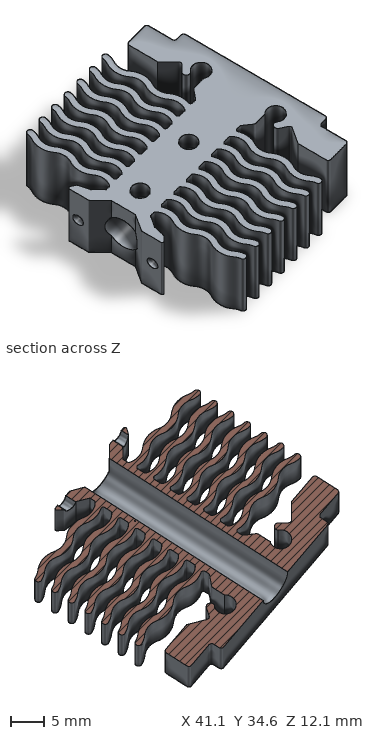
import cadquery as cq
import math

HEIGHT = 12.1
LENGTH = 34.6
FIN_SPAN = 41.12

HEAD_HALF_WIDTH = 19.0
HEAD_THICKNESS = 6.8
STEP_HALF_WIDTH = 13.6
STEP_HEIGHT = 2.0
HEAD_CORNER_RADIUS = 0.5
HEAD_BOTTOM = LENGTH - HEAD_THICKNESS

GROOVE_RADIUS = 1.6
GROOVE_X = 7.0
GROOVE_Y = LENGTH - 4.2
LIP_RADIUS = 0.68
LIP_X = 8.62
LIP_Y = LENGTH - 5.74
NOTCH_ANGLE = math.radians(37)
NOTCH_OUTER_X = 13.2
NOTCH_RADIUS = 0.45

CORE_HALF_WIDTH = 4.2
NECK_HALF_WIDTH = 5.78
NECK_BOTTOM = LENGTH - 7.65
NECK_SLOPE = math.radians(45)
NECK_RADIUS = 0.6

FIN_COUNT = 7
FIN_PITCH = 3.1
FIN_THICKNESS = 1.1
TOP_FIN_Y = LENGTH - 10.70
HALF_WAVE = 3.62
WAVE_ANGLE = math.radians(31)
WAVE_RADIUS = HALF_WAVE / (2 * math.sin(WAVE_ANGLE))
WAVE_BENDS = 5
FIRST_CREST_X = 6.0
ROOT_X = 3.4
ROOT_RADIUS = 0.35

FOOT_HEEL_X = 4.97
FOOT_RECESS_HALF_WIDTH = 2.25
FOOT_RECESS_DEPTH = 2.0
FOOT_TOE_X = 9.2
FOOT_TOE_TOP = (8.15, 1.32)
FOOT_KNEE = (5.95, 1.86)
FOOT_TOP_Y = 3.2
FOOT_RADIUS = 0.3

BORE_DIAMETER = 6.1
CROSS_HOLE_DIAMETER = 3.0
CROSS_HOLE_YS = (6.15, 18.15)
FOOT_HOLE_DIAMETER = 2.0
FOOT_HOLE_X = 7.0


def round_corners(body, corners, radius):
    """Fillet the upright edges standing on the given XY corners."""
    for x, y in corners:
        edge = cq.selectors.NearestToPointSelector((x, y, HEIGHT / 2))
        body = body.edges("|Z").edges(edge).fillet(radius)
    return body


def make_head():
    """Right half of the head plate, with the hooked lip beside the groove."""
    slope = math.tan(NOTCH_ANGLE)
    tangent_x = LIP_X + LIP_RADIUS * math.cos(NOTCH_ANGLE)
    tangent_y = LIP_Y - LIP_RADIUS * math.sin(NOTCH_ANGLE)
    rise = HEAD_BOTTOM + slope * NOTCH_OUTER_X - tangent_y + tangent_x / slope
    apex_x = rise / (slope + 1 / slope)
    apex_y = HEAD_BOTTOM + slope * (NOTCH_OUTER_X - apex_x)

    step_y = LENGTH - STEP_HEIGHT
    sharp = [
        (STEP_HALF_WIDTH, LENGTH),
        (STEP_HALF_WIDTH, step_y),
        (HEAD_HALF_WIDTH, step_y),
        (HEAD_HALF_WIDTH, HEAD_BOTTOM),
    ]
    notch = [
        (NOTCH_OUTER_X, HEAD_BOTTOM),
        (apex_x, apex_y),
        (tangent_x, tangent_y),
        (LIP_X, LIP_Y),
        (GROOVE_X, GROOVE_Y),
    ]
    head = (
        cq.Workplane("XY")
        .polyline([(0, LENGTH)] + sharp + notch + [(0, GROOVE_Y)])
        .close()
        .extrude(HEIGHT)
    )
    head = round_corners(head, sharp, HEAD_CORNER_RADIUS)
    head = round_corners(head, [(apex_x, apex_y)], NOTCH_RADIUS)
    lip = cq.Workplane("XY").center(LIP_X, LIP_Y).circle(LIP_RADIUS).extrude(HEIGHT)
    return head.union(lip)


def make_core():
    """Right half of the core, from the neck down to the foot."""
    core_top = NECK_BOTTOM - (NECK_HALF_WIDTH - CORE_HALF_WIDTH) * math.tan(NECK_SLOPE)
    neck = [(NECK_HALF_WIDTH, NECK_BOTTOM), (CORE_HALF_WIDTH, core_top)]
    foot = [FOOT_TOE_TOP, (FOOT_TOE_X, 0), (FOOT_HEEL_X, 0)]
    outline = (
        [(0, GROOVE_Y), (NECK_HALF_WIDTH, GROOVE_Y)]
        + neck
        + [(CORE_HALF_WIDTH, FOOT_TOP_Y), FOOT_KNEE]
        + foot
        + [(FOOT_RECESS_HALF_WIDTH, FOOT_RECESS_DEPTH), (0, FOOT_RECESS_DEPTH)]
    )
    core = cq.Workplane("XY").polyline(outline).close().extrude(HEIGHT)
    core = round_corners(core, neck, NECK_RADIUS)
    return round_corners(core, foot, FOOT_RADIUS)


def bend_point(bend, x, offset):
    """Point on a bend at an offset above the centreline, on the radius that crosses it at x."""
    side = 1 if bend % 2 == 0 else -1
    crest_x = FIRST_CREST_X + bend * HALF_WAVE
    centre_y = -WAVE_RADIUS if side > 0 else WAVE_RADIUS * (2 * math.cos(WAVE_ANGLE) - 1)
    angle = math.asin((x - crest_x) / WAVE_RADIUS)
    radius = WAVE_RADIUS + side * offset
    return (crest_x + radius * math.sin(angle), centre_y + side * radius * math.cos(angle))


def make_fin(y):
    """One right-hand fin with a round tip."""
    half = FIN_THICKNESS / 2
    tip_x = FIN_SPAN / 2 - half
    ends = [ROOT_X]
    for bend in range(WAVE_BENDS - 1):
        ends.append(FIRST_CREST_X + (bend + 0.5) * HALF_WAVE)
    ends.append(tip_x)

    last = WAVE_BENDS - 1
    fin = cq.Workplane("XY").center(0, y).moveTo(*bend_point(0, ROOT_X, half))
    for bend in range(WAVE_BENDS):
        middle = (ends[bend] + ends[bend + 1]) / 2
        fin = fin.threePointArc(bend_point(bend, middle, half), bend_point(bend, ends[bend + 1], half))
    tip_y = bend_point(last, tip_x, 0)[1]
    fin = fin.threePointArc((tip_x + half, tip_y), bend_point(last, tip_x, -half))
    for bend in reversed(range(WAVE_BENDS)):
        middle = (ends[bend] + ends[bend + 1]) / 2
        fin = fin.threePointArc(bend_point(bend, middle, -half), bend_point(bend, ends[bend], -half))
    return fin.close().extrude(HEIGHT)


def add_fins(body):
    """Join the fins to the core and round the corners at their roots."""
    for index in range(FIN_COUNT):
        body = body.union(make_fin(TOP_FIN_Y - index * FIN_PITCH))
    reach = 0.01
    lowest = FOOT_TOP_Y + reach
    highest = TOP_FIN_Y + FIN_THICKNESS / 2
    roots = cq.selectors.BoxSelector(
        (CORE_HALF_WIDTH - reach, lowest, 0),
        (CORE_HALF_WIDTH + reach, highest, HEIGHT),
    )
    return body.edges("|Z").edges(roots).fillet(ROOT_RADIUS)


def cut_holes(body):
    """Bore along Y, cross holes down into it, and a hole through each foot."""
    middle = HEIGHT / 2
    bore = cq.Workplane("XZ", origin=(0, 0, middle)).circle(BORE_DIAMETER / 2).extrude(-LENGTH)
    cross_holes = (
        cq.Workplane("XY", origin=(0, 0, middle))
        .pushPoints([(0, y) for y in CROSS_HOLE_YS])
        .circle(CROSS_HOLE_DIAMETER / 2)
        .extrude(HEIGHT - middle)
    )
    foot_holes = (
        cq.Workplane("XZ", origin=(0, 0, middle))
        .pushPoints([(-FOOT_HOLE_X, 0), (FOOT_HOLE_X, 0)])
        .circle(FOOT_HOLE_DIAMETER / 2)
        .extrude(-FOOT_TOP_Y)
    )
    return body.cut(bore).cut(cross_holes).cut(foot_holes)


groove = cq.Workplane("XY").center(GROOVE_X, GROOVE_Y).circle(GROOVE_RADIUS).extrude(HEIGHT)
half_body = add_fins(make_core()).union(make_head()).cut(groove)
result = cut_holes(half_body.union(half_body.mirror("YZ")).clean())